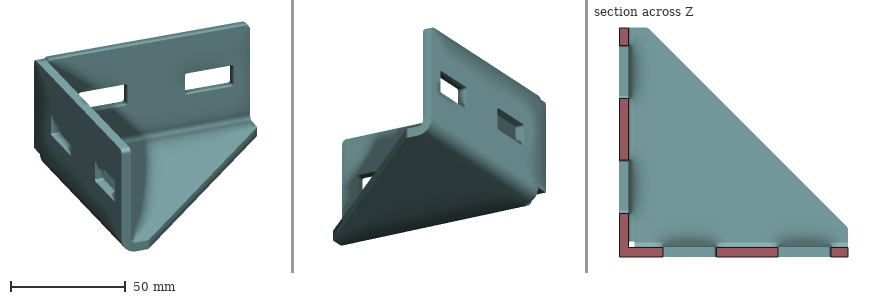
import cadquery as cq

leg_length = 100.0
height = 50.0
thickness = 4.3
bend_inner_radius = 2.5
corner_radius = 2.1
gusset_end_width = 12.6
slot_length = 23.0
slot_height = 10.2
slot_corner_radius = 1.0
slot_pitch = 50.0
first_slot_center = 30.8
slot_center_height = 26.8

bend_outer_radius = thickness + bend_inner_radius


def wall(start):
    """Upright plate on the XZ plane, from X = start to the end of the leg, with two slots."""
    plate = (
        cq.Workplane("XY")
        .box(leg_length - start, thickness, height - bend_outer_radius, centered=False)
        .translate((start, 0, bend_outer_radius))
        .edges("|Y and >Z")
        .fillet(corner_radius)
    )
    for index in range(2):
        slot_center = first_slot_center + index * slot_pitch
        slot = (
            cq.Workplane("XY")
            .box(slot_length, thickness, slot_height)
            .edges("|Y")
            .fillet(slot_corner_radius)
            .translate((slot_center, thickness / 2, slot_center_height))
        )
        plate = plate.cut(slot)
    return plate


def bend():
    """Quarter-round bend joining an upright wall to the base, running along X."""
    run = leg_length - bend_outer_radius
    axis_height = bend_outer_radius
    ring = (
        cq.Workplane("YZ")
        .center(bend_outer_radius, axis_height)
        .circle(bend_outer_radius)
        .circle(bend_inner_radius)
        .extrude(run)
    )
    quadrant = cq.Workplane("XY").box(run, bend_outer_radius, bend_outer_radius, centered=False)
    return ring.intersect(quadrant).translate((bend_outer_radius, 0, 0))


def swap_x_and_y(body):
    """Mirror a body across the vertical plane X = Y."""
    return body.rotate((0, 0, 0), (0, 0, 1), 90).mirror("YZ")


def base():
    """Triangular gusset plate with blunted, rounded ends."""
    return (
        cq.Workplane("XY")
        .moveTo(bend_outer_radius, bend_outer_radius)
        .lineTo(leg_length, bend_outer_radius)
        .lineTo(leg_length, gusset_end_width)
        .lineTo(gusset_end_width, leg_length)
        .lineTo(bend_outer_radius, leg_length)
        .close()
        .extrude(thickness)
        .edges("|Z")
        .edges(cq.selectors.BoxSelector(
            (bend_outer_radius + thickness, bend_outer_radius + thickness, -thickness),
            (2 * leg_length, 2 * leg_length, 2 * thickness),
        ))
        .fillet(corner_radius)
    )


front_wall = wall(0)
side_wall = swap_x_and_y(wall(thickness))

result = base().union(bend()).union(swap_x_and_y(bend())).union(front_wall).union(side_wall)